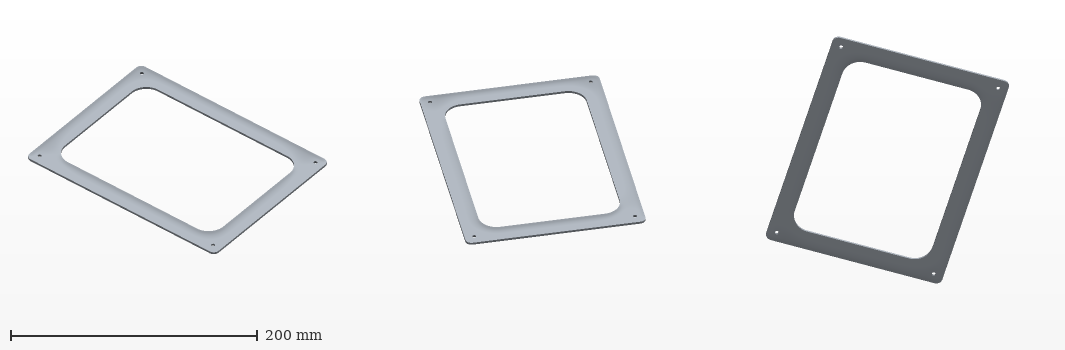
import cadquery as cq

length = 196.0
width = 149.0
thickness = 2.0
outer_radius = 5.0

border = 16.0
window_radius = 15.0

hole_diameter = 3.1
hole_inset = border / 2

plate = (
    cq.Workplane("XY")
    .box(length, width, thickness)
    .edges("|Z")
    .fillet(outer_radius)
)

window = (
    cq.Workplane("XY")
    .box(length - 2 * border, width - 2 * border, thickness)
    .edges("|Z")
    .fillet(window_radius)
)

result = (
    plate.cut(window)
    .faces(">Z")
    .workplane(origin=(0, 0, 0))
    .rect(length - 2 * hole_inset, width - 2 * hole_inset, forConstruction=True)
    .vertices()
    .hole(hole_diameter)
)